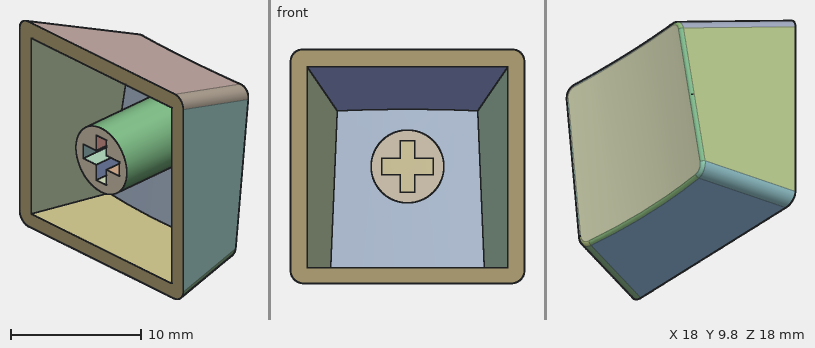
import cadquery as cq
import math

base_size = 18.0
half_base = base_size / 2
blank_height = 12.6
side_taper = 15.4
upper_taper = 21.9
corner_radius = 1.0
top_edge_radius = 0.3

dish_radius = 46.8
dish_slope = 8.9
dish_mid_height = 8.7
top_thickness = 1.22

cavity_half_width = 7.72
cavity_upper = 7.67
cavity_lower = -7.78

stem_diameter = 5.6
cross_length = 3.95
cross_bar_thickness = 1.25
cross_post_thickness = 1.12


def tapered_block(half_width, lower, upper):
    """Block rising along +Y, with sloping side and upper walls and a straight lower wall."""
    side_inset = blank_height * math.tan(math.radians(side_taper))
    upper_inset = blank_height * math.tan(math.radians(upper_taper))
    plan = (
        cq.Workplane("XY", origin=(0, 0, lower))
        .polyline([
            (-half_width, 0),
            (half_width, 0),
            (half_width - side_inset, blank_height),
            (-half_width + side_inset, blank_height),
        ])
        .close()
        .extrude(upper - lower)
    )
    profile = (
        cq.Workplane("YZ")
        .polyline([(0, lower), (0, upper), (blank_height, upper - upper_inset), (blank_height, lower)])
        .close()
        .extrude(half_width, both=True)
    )
    return plan.intersect(profile)


def dish_cylinder(lowest_height):
    """Cylinder along the sloping top, with its lowest line at the given height at Z = 0."""
    slope = math.radians(dish_slope)
    along = cq.Vector(0, math.sin(slope), math.cos(slope))
    outward = cq.Vector(0, math.cos(slope), -math.sin(slope))
    axis_point = cq.Vector(0, lowest_height, 0) + outward * dish_radius
    start = axis_point - along * (2 * base_size)
    return cq.Workplane(cq.Solid.makeCylinder(dish_radius, 4 * base_size, start, along))


def socket_bar(width, height):
    """Bar of the cross, centred on the stem and running along +Y."""
    return cq.Workplane("XZ").rect(width, height).extrude(-blank_height)


body = tapered_block(half_base, -half_base, half_base)
body = body.edges("not(#Y)").fillet(corner_radius)
body = body.cut(dish_cylinder(dish_mid_height))
dished_face = body.faces("%CYLINDER").faces(cq.selectors.AreaNthSelector(-1))
body = dished_face.edges().fillet(top_edge_radius)

floor_drop = top_thickness / math.cos(math.radians(dish_slope))
floor_cutter = dish_cylinder(dish_mid_height - floor_drop)
cross = socket_bar(cross_length, cross_bar_thickness).union(socket_bar(cross_post_thickness, cross_length))
stem = cq.Workplane("XZ").circle(stem_diameter / 2).extrude(-blank_height).cut(cross)
cavity = tapered_block(cavity_half_width, cavity_lower, cavity_upper).cut(floor_cutter).cut(stem)

result = body.cut(cavity)